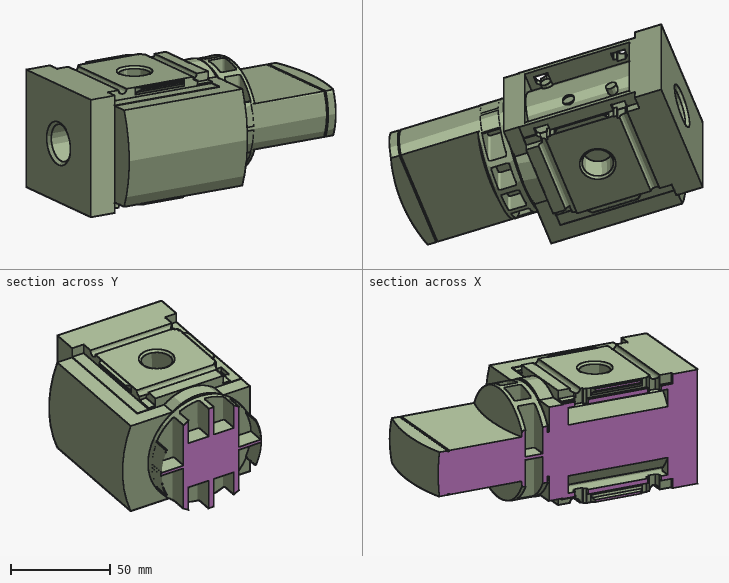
import cadquery as cq
import math


BODY_WIDTH = 62.0
HALF_BODY = BODY_WIDTH / 2
TOTAL_LENGTH = 150.9
FRONT_BLOCK_LENGTH = 14.2
BODY_LENGTH = 76.4
FRAME_HALF_HEIGHT = 25.8
PAD_HALF_WIDTH = 24.2
MID_Y = 45.2

COVER_HALF_HEIGHT = 25.5
COVER_EDGE_X = 39.9
COVER_CROWN_X = 44.8
COLLAR_END_Y = 84.5
NECK_HALF_WIDTH = 15.0
NECK_CROWN_Z = 30.7

GROOVE_RADIUS = 2.35
GROOVE_OFFSET = 22.1
NOTCH_WIDTH = 4.0
NOTCH_START_Y = 67.6
NOTCH_FLOOR_Z = 26.6
LUG_REACH = 2.4
LUG_HALF_LENGTH = 14.6
LUG_STEP_DOWN = 0.2
LUG_TOP_Z = HALF_BODY - LUG_STEP_DOWN
LUG_LIP_Z = 30.0
LUG_BREAK_Z = 28.4
LUG_BREAK_REACH = 0.5
LUG_ROOT_Z = 27.0

SLOT_OUTER_X = -27.7
SLOT_SHOULDER_X = -23.8
SLOT_INNER_X = -22.4
SLOT_NEAR = 17.0
SLOT_FAR = 24.3
SLOT_INNER_NEAR = 18.7
SLOT_INNER_FAR = 22.9

POCKET_HALF_HEIGHT = 23.0
POCKET_HALF_LENGTH = 28.1
POCKET_FLOOR_X = -20.7
DRUM_RADIUS = 29.3
DRUM_HALF_CHORD = math.sqrt(DRUM_RADIUS**2 - POCKET_FLOOR_X**2)
PIN_DIAMETER = 5.5
PIN_END_X = -30.0
PIN_CENTRES = [(62.4, 11.1), (27.4, -11.1)]
SIGHT_DIAMETER = 6.2
SIGHT_FACE_X = -27.8
SIGHT_CENTRE = (50.9, -8.7)

FRONT_PORT_DIAMETER = 19.2
FRONT_PORT_MOUTH = 22.6
FRONT_PORT_DEPTH = 20.0
SIDE_PORT_DIAMETER = 15.8
SIDE_PORT_MOUTH = 18.2
SIDE_PORT_DEPTH = 15.0

KNOB_RADIUS = 30.0
KNOB_START_Y = 85.1
JOINT_RADIUS = 28.5
RIM_BEVEL_Y = 98.8
RIM_END_Y = 99.8
RIM_END_RADIUS = 29.7
CROWN_SPHERE_RADIUS = 100.0
GRIP_HALF_THICKNESS = 12.1
SEAM_Y = 141.4
SEAM_WIDTH = 0.7
SEAM_DEPTH = 0.5
SEAM_CUT_WIDTH = 2.2 * KNOB_RADIUS
WINDOW_START_Y = 88.0
WINDOW_END_Y = 97.7
WINDOW_FLOOR_Z = 13.4
WINDOW_CORNER_RADIUS = 1.0
INNER_WINDOW_X = (1.5, 13.5)
OUTER_WINDOW_X = (16.5, 31.0)
CAVITY_RADIUS = 29.4
WEB_HALF_THICKNESS = 1.0


def box(x_range, y_range, z_range):
    """Box between pairs of limits."""
    size = [high - low for low, high in (x_range, y_range, z_range)]
    corner = (x_range[0], y_range[0], z_range[0])
    return cq.Workplane("XY").box(*size, centered=False).translate(corner)


def cross_section(y):
    """Workplane normal to +Y at the given Y, with local axes (-X, Z)."""
    return cq.Workplane("XZ", origin=(0, y, 0)).transformed(rotate=(0, 180, 0))


def crown_drop(radius):
    """Fall of the crown sphere below its apex at a distance from the axis."""
    return CROWN_SPHERE_RADIUS - math.sqrt(CROWN_SPHERE_RADIUS**2 - radius**2)


def both_sides(shape):
    """The shape together with its mirror image across Z = 0."""
    return shape.union(shape.mirror("XY"))


def make_body():
    front = box((-HALF_BODY, HALF_BODY), (0, FRONT_BLOCK_LENGTH), (-HALF_BODY, HALF_BODY))
    frame = box((-HALF_BODY, HALF_BODY), (0, BODY_LENGTH), (-FRAME_HALF_HEIGHT, FRAME_HALF_HEIGHT))
    pads = box((-PAD_HALF_WIDTH, PAD_HALF_WIDTH), (0, BODY_LENGTH), (-HALF_BODY, HALF_BODY))
    return front.union(frame).union(pads)


def make_cover_and_collar():
    collar = box(
        (-HALF_BODY, HALF_BODY), (BODY_LENGTH, COLLAR_END_Y), (-COVER_HALF_HEIGHT, COVER_HALF_HEIGHT)
    )
    cover = (
        cross_section(FRONT_BLOCK_LENGTH)
        .moveTo(0, -COVER_HALF_HEIGHT)
        .lineTo(-COVER_EDGE_X, -COVER_HALF_HEIGHT)
        .threePointArc((-COVER_CROWN_X, 0), (-COVER_EDGE_X, COVER_HALF_HEIGHT))
        .lineTo(0, COVER_HALF_HEIGHT)
        .close()
        .extrude(COLLAR_END_Y - FRONT_BLOCK_LENGTH)
    )
    neck = (
        cross_section(BODY_LENGTH)
        .moveTo(-NECK_HALF_WIDTH, 0)
        .lineTo(-NECK_HALF_WIDTH, COVER_HALF_HEIGHT)
        .threePointArc((0, NECK_CROWN_Z), (NECK_HALF_WIDTH, COVER_HALF_HEIGHT))
        .lineTo(NECK_HALF_WIDTH, 0)
        .close()
        .extrude(COLLAR_END_Y - BODY_LENGTH)
    )
    return collar.union(cover).union(both_sides(neck))


def make_lug(side):
    """Undercut clamp lug beside the top pad; side is -1 or +1 along X."""
    root_x = side * PAD_HALF_WIDTH
    tip_x = side * (PAD_HALF_WIDTH + LUG_REACH)
    tip_half_length = LUG_HALF_LENGTH - LUG_REACH
    plan = (
        cq.Workplane("XY")
        .polyline([
            (0, MID_Y - LUG_HALF_LENGTH),
            (root_x, MID_Y - LUG_HALF_LENGTH),
            (tip_x, MID_Y - tip_half_length),
            (tip_x, MID_Y + tip_half_length),
            (root_x, MID_Y + LUG_HALF_LENGTH),
            (0, MID_Y + LUG_HALF_LENGTH),
        ])
        .close()
        .extrude(HALF_BODY)
    )
    profile = (
        cq.Workplane("XZ", origin=(0, MID_Y + LUG_HALF_LENGTH, 0))
        .polyline([
            (0, LUG_ROOT_Z),
            (root_x, LUG_ROOT_Z),
            (root_x + side * LUG_BREAK_REACH, LUG_BREAK_Z),
            (tip_x, LUG_LIP_Z),
            (tip_x, LUG_TOP_Z),
            (0, LUG_TOP_Z),
        ])
        .close()
        .extrude(2 * LUG_HALF_LENGTH)
    )
    return plan.intersect(profile)


def make_grooves():
    """Half-round grooves across the top pad."""
    grooves = cq.Workplane("YZ", origin=(-PAD_HALF_WIDTH, 0, 0)).pushPoints(
        [(MID_Y - GROOVE_OFFSET, HALF_BODY), (MID_Y + GROOVE_OFFSET, HALF_BODY)]
    )
    return grooves.circle(GROOVE_RADIUS).extrude(2 * PAD_HALF_WIDTH)


def make_notch(side):
    """Corner notch at the knob end of the top pad."""
    x_limits = sorted((side * PAD_HALF_WIDTH, side * (PAD_HALF_WIDTH - NOTCH_WIDTH)))
    return box(x_limits, (NOTCH_START_Y, BODY_LENGTH), (NOTCH_FLOOR_Z, HALF_BODY))


def make_slot(direction):
    """Clamp slot through the frame wall; direction is -1 or +1 along Y."""
    points = [
        (SLOT_OUTER_X, SLOT_NEAR),
        (SLOT_SHOULDER_X, SLOT_NEAR),
        (SLOT_SHOULDER_X, SLOT_INNER_NEAR),
        (SLOT_INNER_X, SLOT_INNER_NEAR),
        (SLOT_INNER_X, SLOT_INNER_FAR),
        (SLOT_SHOULDER_X, SLOT_FAR),
        (SLOT_OUTER_X, SLOT_FAR),
    ]
    outline = [(x, MID_Y + direction * distance) for x, distance in points]
    slot_start_z = DRUM_HALF_CHORD
    return (
        cq.Workplane("XY", origin=(0, 0, slot_start_z))
        .polyline(outline)
        .close()
        .extrude(HALF_BODY - slot_start_z)
    )


def make_pocket():
    """Pocket volume: a box less the drum, with a round groove along each side of the drum."""
    start_y = MID_Y - POCKET_HALF_LENGTH
    length = 2 * POCKET_HALF_LENGTH
    pocket = box(
        (-HALF_BODY, POCKET_FLOOR_X),
        (start_y, start_y + length),
        (-POCKET_HALF_HEIGHT, POCKET_HALF_HEIGHT),
    )
    drum = cross_section(start_y).circle(DRUM_RADIUS).extrude(length)
    groove_z = (POCKET_HALF_HEIGHT + DRUM_HALF_CHORD) / 2
    groove_radius = (POCKET_HALF_HEIGHT - DRUM_HALF_CHORD) / 2
    groove = cross_section(start_y).center(-POCKET_FLOOR_X, groove_z).circle(groove_radius).extrude(length)
    return pocket.cut(drum).union(both_sides(groove))


def make_drum_rod(centre, diameter, end_x):
    """Round rod along X, from inside the drum to end_x."""
    return (
        cq.Workplane("YZ", origin=(end_x, 0, 0))
        .center(*centre)
        .circle(diameter / 2)
        .extrude(POCKET_FLOOR_X - end_x)
    )


def make_port(diameter, mouth, depth):
    """Blind bore with a 45 degree countersink, opening at Z = 0 and running down -Z."""
    radius = diameter / 2
    mouth_radius = mouth / 2
    return (
        cq.Workplane("XZ")
        .polyline([
            (0, 0),
            (mouth_radius, 0),
            (radius, radius - mouth_radius),
            (radius, -depth),
            (0, -depth),
        ])
        .close()
        .revolve(360, (0, 0), (0, 1))
    )


def make_window(x_range, z_range):
    """Straight-sided pocket into the knob rim with rounded upright edges."""
    window = box(x_range, (WINDOW_START_Y, WINDOW_END_Y), z_range)
    return window.edges("|Z").fillet(WINDOW_CORNER_RADIUS)


def make_windows():
    """All rim windows on the +X half; the outer ones deepen behind a thin rim wall."""
    open_z = (WINDOW_FLOOR_Z, KNOB_RADIUS)
    deep_z = (WEB_HALF_THICKNESS, WINDOW_FLOOR_Z)
    cavity_limit = (
        cross_section(WINDOW_START_Y).circle(CAVITY_RADIUS).extrude(WINDOW_END_Y - WINDOW_START_Y)
    )
    inner_window = make_window(INNER_WINDOW_X, open_z)
    outer_window = make_window(OUTER_WINDOW_X, open_z)
    cavity = make_window(OUTER_WINDOW_X, deep_z).intersect(cavity_limit)
    return both_sides(inner_window).union(both_sides(outer_window.union(cavity)))


def make_knob():
    crown_apex_y = RIM_END_Y + crown_drop(RIM_END_RADIUS)
    mid_radius = RIM_END_RADIUS / 2
    rim = (
        cq.Workplane("XY")
        .moveTo(0, KNOB_START_Y)
        .lineTo(KNOB_RADIUS, KNOB_START_Y)
        .lineTo(KNOB_RADIUS, RIM_BEVEL_Y)
        .lineTo(RIM_END_RADIUS, RIM_END_Y)
        .threePointArc((mid_radius, crown_apex_y - crown_drop(mid_radius)), (0, crown_apex_y))
        .close()
        .revolve(360, (0, 0), (0, 1))
    )

    half_radius = KNOB_RADIUS / 2
    grip = (
        cq.Workplane("XY")
        .moveTo(0, KNOB_START_Y)
        .lineTo(KNOB_RADIUS, KNOB_START_Y)
        .lineTo(KNOB_RADIUS, TOTAL_LENGTH - crown_drop(KNOB_RADIUS))
        .threePointArc((half_radius, TOTAL_LENGTH - crown_drop(half_radius)), (0, TOTAL_LENGTH))
        .close()
        .revolve(360, (0, 0), (0, 1))
    )
    slab = box(
        (-KNOB_RADIUS, KNOB_RADIUS),
        (KNOB_START_Y, TOTAL_LENGTH),
        (-GRIP_HALF_THICKNESS, GRIP_HALF_THICKNESS),
    )
    seam_start = SEAM_Y - SEAM_WIDTH / 2
    seam_core = cross_section(seam_start).circle(KNOB_RADIUS - SEAM_DEPTH).extrude(SEAM_WIDTH)
    core_half_thickness = GRIP_HALF_THICKNESS - SEAM_DEPTH
    seam_core = seam_core.intersect(
        box(
            (-KNOB_RADIUS, KNOB_RADIUS),
            (KNOB_START_Y, TOTAL_LENGTH),
            (-core_half_thickness, core_half_thickness),
        )
    )
    seam_slice = cross_section(seam_start).rect(SEAM_CUT_WIDTH, SEAM_CUT_WIDTH).extrude(SEAM_WIDTH)
    grip = grip.intersect(slab).cut(seam_slice.cut(seam_core))

    knob = rim.union(grip)
    windows = make_windows()
    knob = knob.cut(windows).cut(windows.mirror("YZ"))

    joint = cross_section(BODY_LENGTH).circle(JOINT_RADIUS).extrude(KNOB_START_Y - BODY_LENGTH)
    return knob.union(joint)


result = make_body().union(make_cover_and_collar())

for side in (-1, 1):
    result = result.union(both_sides(make_lug(side)))
    result = result.cut(both_sides(make_notch(side)))
result = result.cut(both_sides(make_grooves()))

result = result.cut(make_pocket())
for direction in (-1, 1):
    result = result.cut(both_sides(make_slot(direction)))

for pin_centre in PIN_CENTRES:
    result = result.union(make_drum_rod(pin_centre, PIN_DIAMETER, PIN_END_X))
sight_recess = make_drum_rod(SIGHT_CENTRE, SIGHT_DIAMETER, -HALF_BODY)
result = result.cut(sight_recess).union(make_drum_rod(SIGHT_CENTRE, SIGHT_DIAMETER, SIGHT_FACE_X))

front_port = make_port(FRONT_PORT_DIAMETER, FRONT_PORT_MOUTH, FRONT_PORT_DEPTH)
result = result.cut(front_port.rotate((0, 0, 0), (1, 0, 0), 90))
side_port = make_port(SIDE_PORT_DIAMETER, SIDE_PORT_MOUTH, SIDE_PORT_DEPTH)
result = result.cut(both_sides(side_port.translate((0, MID_Y, HALF_BODY))))

result = result.union(make_knob())